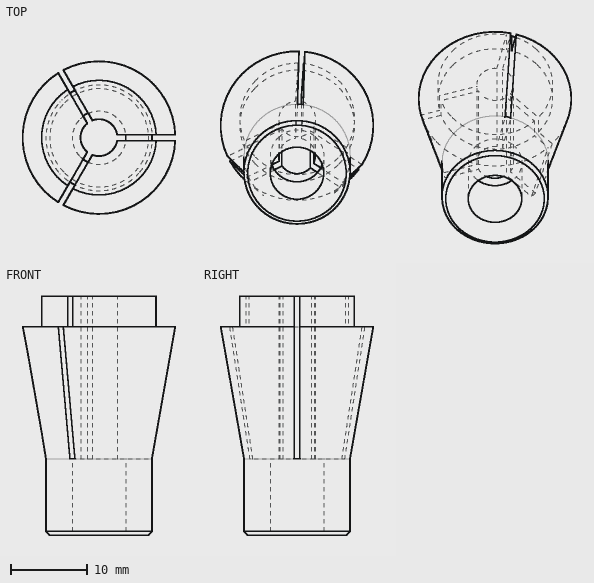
import cadquery as cq

total_height = 31.3
shank_diameter = 13.9
shank_height = 10.0
cone_top_diameter = 20.0
head_diameter = 15.0
head_height = 4.0
grip_bore_diameter = 4.8
relief_bore_diameter = 7.0
bottom_chamfer = 0.5
slot_width = 0.75
slot_count = 3

cone_top_z = total_height - head_height
slot_depth = total_height - shank_height


def collet_body():
    """Revolved outside: chamfered shank, flared cone and stepped head."""
    shank_radius = shank_diameter / 2
    head_radius = head_diameter / 2
    profile = (
        cq.Workplane("XZ")
        .moveTo(0, 0)
        .lineTo(shank_radius - bottom_chamfer, 0)
        .lineTo(shank_radius, bottom_chamfer)
        .lineTo(shank_radius, shank_height)
        .lineTo(cone_top_diameter / 2, cone_top_z)
        .lineTo(head_radius, cone_top_z)
        .lineTo(head_radius, total_height)
        .lineTo(0, total_height)
        .close()
    )
    return profile.revolve(360, (0, 0, 0), (0, 1, 0))


def stepped_bore():
    """Wide relief bore through the shank, narrower grip bore through to the top."""
    relief = cq.Workplane("XY").circle(relief_bore_diameter / 2).extrude(shank_height)
    grip = cq.Workplane("XY").circle(grip_bore_diameter / 2).extrude(total_height)
    return relief.union(grip)


def jaw_slot(angle):
    """Radial slot from the axis outward, open at the top, ending at the shank."""
    slot_length = cone_top_diameter
    return (
        cq.Workplane("XY")
        .box(slot_length, slot_width, slot_depth, centered=(False, True, False))
        .translate((0, 0, shank_height))
        .rotate((0, 0, 0), (0, 0, 1), angle)
    )


result = collet_body().cut(stepped_bore())
for index in range(slot_count):
    result = result.cut(jaw_slot(index * 360 / slot_count))